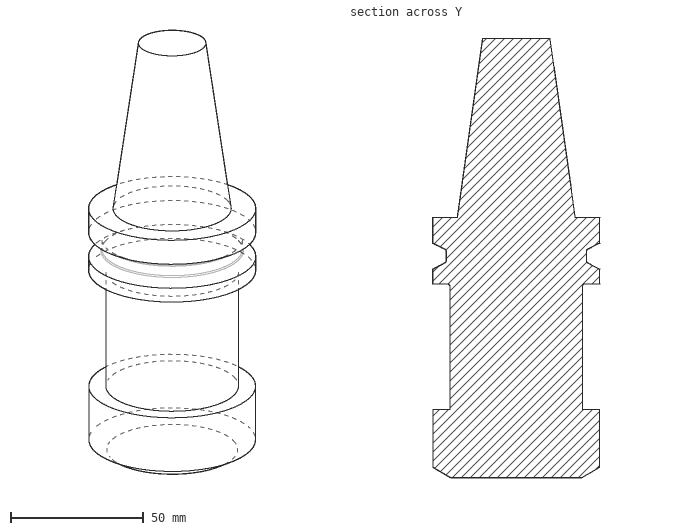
import cadquery as cq

total_height = 165.4
nut_chamfer_height = 4.0
nut_top = 25.8
flange_bottom = 73.0
lower_rim_top = 78.5
groove_bottom = 81.2
groove_top = 85.8
upper_rim_bottom = 88.3
flange_top = 98.0

nut_diameter = 62.9
nut_face_diameter = 49.3
body_diameter = 50.0
flange_diameter = 63.0
groove_diameter = 53.0
taper_large_diameter = 44.5
taper_small_diameter = 25.5

groove_fillet_radius = 0.7

body_fillet_radius = 1.0


def cylinder(diameter, bottom, top):
    """Solid cylinder on the Z axis between two heights."""
    return cq.Workplane("XY").workplane(offset=bottom).circle(diameter / 2).extrude(top - bottom)


def cone(bottom_diameter, top_diameter, bottom, top):
    """Solid truncated cone on the Z axis between two heights."""
    return (
        cq.Workplane("XY")
        .workplane(offset=bottom)
        .circle(bottom_diameter / 2)
        .workplane(offset=top - bottom)
        .circle(top_diameter / 2)
        .loft(ruled=True)
    )


nut = cone(nut_face_diameter, nut_diameter, 0, nut_chamfer_height).union(
    cylinder(nut_diameter, nut_chamfer_height, nut_top)
)

body = cylinder(body_diameter, nut_top, flange_bottom)

flange = (
    cylinder(flange_diameter, flange_bottom, lower_rim_top)
    .union(cone(flange_diameter, groove_diameter, lower_rim_top, groove_bottom))
    .union(cylinder(groove_diameter, groove_bottom, groove_top))
    .union(cone(groove_diameter, flange_diameter, groove_top, upper_rim_bottom))
    .union(cylinder(flange_diameter, upper_rim_bottom, flange_top))
)

floor_radius = groove_diameter / 2
groove_floor_zone = cq.selectors.BoxSelector(
    (-floor_radius, -floor_radius, groove_bottom - groove_fillet_radius),
    (floor_radius, floor_radius, groove_top + groove_fillet_radius),
)
flange = flange.edges(groove_floor_zone).edges("%CIRCLE").fillet(groove_fillet_radius)

shank = cone(taper_large_diameter, taper_small_diameter, flange_top, total_height)

body_radius = body_diameter / 2
body_top_zone = cq.selectors.BoxSelector(
    (-body_radius, -body_radius, flange_bottom - body_fillet_radius),
    (body_radius, body_radius, flange_bottom + body_fillet_radius),
)
body_top_edge = cq.selectors.RadiusNthSelector(0)
result = nut.union(body).union(flange).union(shank)
result = result.edges(body_top_zone).edges("%CIRCLE").edges(body_top_edge).fillet(body_fillet_radius)